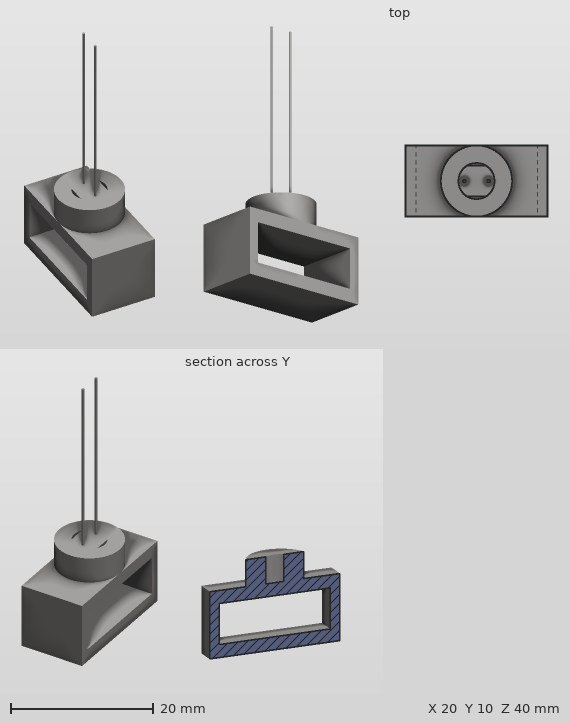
import cadquery as cq

TOTAL_HEIGHT = 40.0
FRAME_LENGTH = 20.0
FRAME_DEPTH = 10.0
FRAME_HEIGHT = 10.0

WINDOW_LENGTH = 17.0
WINDOW_HEIGHT = 6.0

COLLAR_DIAMETER = FRAME_DEPTH
COLLAR_HEIGHT = 4.0

SENSOR_DIAMETER = 5.1
SENSOR_WIDTH_OVER_FLATS = 4.3
SENSOR_THICKNESS = COLLAR_HEIGHT

LEAD_DIAMETER = 0.4
LEAD_SPACING = 3.4

COLLAR_TOP = FRAME_HEIGHT + COLLAR_HEIGHT
SENSOR_BOTTOM = COLLAR_TOP - SENSOR_THICKNESS
LEAD_LENGTH = TOTAL_HEIGHT - COLLAR_TOP


def cylinder(diameter, height, bottom, x=0.0):
    """Upright cylinder centred at (x, 0) that starts at the given Z."""
    return cq.Workplane("XY", origin=(x, 0, bottom)).circle(diameter / 2).extrude(height)


def make_holder():
    """Windowed frame and its collar in one piece, with a round socket for the sensor."""
    frame = cq.Workplane("XY").box(FRAME_LENGTH, FRAME_DEPTH, FRAME_HEIGHT, centered=(True, True, False))
    window = cq.Workplane("XY").box(WINDOW_LENGTH, FRAME_DEPTH, WINDOW_HEIGHT)
    frame = frame.cut(window.translate((0, 0, FRAME_HEIGHT / 2)))
    collar = cylinder(COLLAR_DIAMETER, COLLAR_HEIGHT, FRAME_HEIGHT)
    socket = cylinder(SENSOR_DIAMETER, SENSOR_THICKNESS, SENSOR_BOTTOM)
    return frame.union(collar).cut(socket)


def make_sensor():
    """Disc that fits the socket, cut by flats facing +Y and -Y."""
    disc = cylinder(SENSOR_DIAMETER, SENSOR_THICKNESS, SENSOR_BOTTOM)
    between_flats = cq.Workplane("XY", origin=(0, 0, SENSOR_BOTTOM)).box(
        SENSOR_DIAMETER, SENSOR_WIDTH_OVER_FLATS, SENSOR_THICKNESS, centered=(True, True, False)
    )
    return disc.intersect(between_flats)


def make_lead(x):
    """One wire lead rising from the top of the sensor."""
    return cylinder(LEAD_DIAMETER, LEAD_LENGTH, COLLAR_TOP, x)


holder = make_holder()
sensor = make_sensor()
leads = [make_lead(side * LEAD_SPACING / 2) for side in (-1, 1)]

result = cq.Compound.makeCompound([holder.val(), sensor.val(), *[lead.val() for lead in leads]])